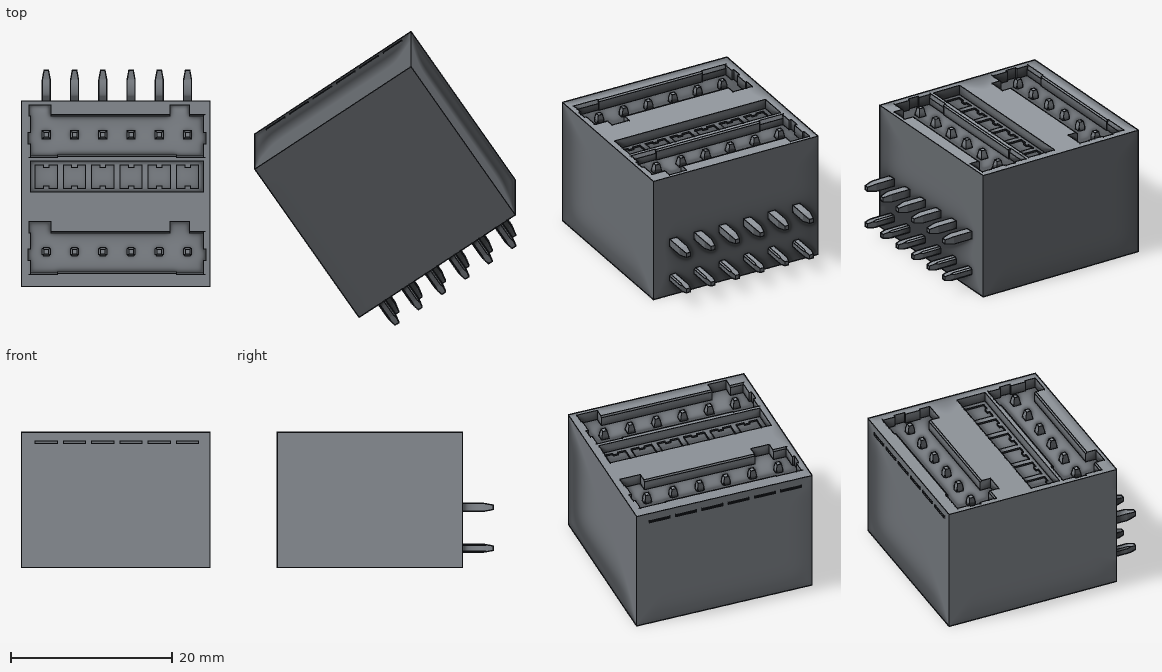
import cadquery as cq
BODY_WIDTH = 23.4
BODY_DEPTH = 23.0
BODY_HEIGHT = 16.8
OVERALL_DEPTH = 26.8

CONTACT_COUNT = 6
CONTACT_PITCH = 3.5
CONTACT_CENTER_X = 0.147
ROW_PITCH = 14.47
POCKET_DEPTH = 1.4
FLOOR_Z = BODY_HEIGHT - POCKET_DEPTH

POCKET_HALF_WIDTH = 10.9
POCKET_FRONT_Y = 1.5
POCKET_BACK_Y = 6.83
MOUTH_FLARE = 0.2
SIDE_FLARE_DROP = 0.05
FRONT_FLARE_DROP = 0.5
RIB_HALF_WIDTH = 7.37
RIB_INSET = 0.13

KEYWAY_BACK_Y = 8.05
LEFT_KEYWAY_WIDTH = 2.73
RIGHT_KEYWAY_START = 6.57
RIGHT_KEYWAY_WIDTH = 2.45
NOTCH_CENTER_Y = 3.9
NOTCH_WIDTH = 1.42
NOTCH_HALF_SPAN = 11.01

WELL_HALF_WIDTH = 10.72
WELL_FRONT_Y = 11.68
WELL_BACK_Y = 15.55
WELL_DEPTH = 1.29
WELL_FLOOR_Z = BODY_HEIGHT - WELL_DEPTH
CELL_WIDTH = 2.75
CELL_LENGTH = 2.92
CELL_SINK = 0.2
CELL_TAB_WIDTH = 0.7
CELL_TAB_LENGTH = 0.32

SLOT_HEIGHT = 0.3
SLOT_TOP_GAP = 1.13
SLOT_DEPTH = 0.2

PIN_SIZE = 1.02
PIN_TIP_SIZE = 0.55
TAIL_TIP_LENGTH = 1.2
PLUG_TIP_LENGTH = 1.1
PIN_CORNER_CHAMFER = 0.2
PIN_EMBED = 0.27
PIN_Y = 4.31
UPPER_TAIL_Z = 7.48
LOWER_TAIL_Z = 2.4
TAIL_LENGTH = OVERALL_DEPTH - BODY_DEPTH

CONTACT_XS = [
    CONTACT_CENTER_X + (i - (CONTACT_COUNT - 1) / 2) * CONTACT_PITCH
    for i in range(CONTACT_COUNT)
]


def block(x_range, y_range, z_range):
    """Axis-aligned box between the given limits."""
    (x0, x1), (y0, y1), (z0, z1) = x_range, y_range, z_range
    return cq.Workplane("XY").box(x1 - x0, y1 - y0, z1 - z0, centered=False).translate((x0, y0, z0))


def recess(front_y, front_drop):
    """Recess down to the pocket floor whose four walls flare out at the mouth."""
    side_profile = [
        (-POCKET_HALF_WIDTH, BODY_HEIGHT),
        (-POCKET_HALF_WIDTH + MOUTH_FLARE, BODY_HEIGHT - SIDE_FLARE_DROP),
        (-POCKET_HALF_WIDTH + MOUTH_FLARE, FLOOR_Z),
        (POCKET_HALF_WIDTH - MOUTH_FLARE, FLOOR_Z),
        (POCKET_HALF_WIDTH - MOUTH_FLARE, BODY_HEIGHT - SIDE_FLARE_DROP),
        (POCKET_HALF_WIDTH, BODY_HEIGHT),
    ]
    end_profile = [
        (front_y, BODY_HEIGHT),
        (front_y + MOUTH_FLARE, BODY_HEIGHT - front_drop),
        (front_y + MOUTH_FLARE, FLOOR_Z),
        (POCKET_BACK_Y - MOUTH_FLARE, FLOOR_Z),
        (POCKET_BACK_Y - MOUTH_FLARE, BODY_HEIGHT - MOUTH_FLARE),
        (POCKET_BACK_Y, BODY_HEIGHT),
    ]
    across = cq.Workplane("XZ").polyline(side_profile).close().extrude(-BODY_DEPTH)
    along = cq.Workplane("YZ").polyline(end_profile).close().extrude(BODY_WIDTH / 2, both=True)
    return across.intersect(along).translate((CONTACT_CENTER_X, 0, 0))


def plug_pocket(row_y):
    """Keyed plug pocket; the middle of its front wall stands slightly proud as a rib."""
    depth = (FLOOR_Z, BODY_HEIGHT)
    rib_zone = block(
        (CONTACT_CENTER_X - RIB_HALF_WIDTH, CONTACT_CENTER_X + RIB_HALF_WIDTH),
        (POCKET_FRONT_Y, NOTCH_CENTER_Y),
        depth,
    )
    cavity = recess(POCKET_FRONT_Y, FRONT_FLARE_DROP).cut(rib_zone)
    cavity = cavity.union(recess(POCKET_FRONT_Y + RIB_INSET, MOUTH_FLARE).intersect(rib_zone))

    left_x = CONTACT_CENTER_X - POCKET_HALF_WIDTH
    right_x = CONTACT_CENTER_X + RIGHT_KEYWAY_START
    keyway_y = (POCKET_BACK_Y - MOUTH_FLARE, KEYWAY_BACK_Y)
    left_keyway = block((left_x, left_x + LEFT_KEYWAY_WIDTH), keyway_y, depth)
    right_keyway = block((right_x, right_x + RIGHT_KEYWAY_WIDTH), keyway_y, depth)
    notches = block(
        (CONTACT_CENTER_X - NOTCH_HALF_SPAN, CONTACT_CENTER_X + NOTCH_HALF_SPAN),
        (NOTCH_CENTER_Y - NOTCH_WIDTH / 2, NOTCH_CENTER_Y + NOTCH_WIDTH / 2),
        depth,
    )
    return cavity.union(left_keyway).union(right_keyway).union(notches).translate((0, row_y, 0))


def cell(x):
    """Sunk cell in the well floor, with a small tab left standing at each end."""
    center = (x, (WELL_FRONT_Y + WELL_BACK_Y) / 2, WELL_FLOOR_Z - CELL_SINK)
    sink = cq.Workplane("XY", origin=center).rect(CELL_WIDTH, CELL_LENGTH).extrude(CELL_SINK)
    tabs = (
        cq.Workplane("XY", origin=center)
        .pushPoints([(0, -CELL_LENGTH / 2), (0, CELL_LENGTH / 2)])
        .rect(CELL_TAB_WIDTH, 2 * CELL_TAB_LENGTH)
        .extrude(CELL_SINK)
    )
    return sink.cut(tabs)


def square_bar(end_z):
    """Square bar along +Z from the embedded start up to end_z."""
    start = cq.Workplane("XY", origin=(0, 0, -PIN_EMBED))
    return start.rect(PIN_SIZE, PIN_SIZE).extrude(PIN_EMBED + end_z)


def pin(length, tip_length, corner_chamfer):
    """Pin along +Z, starting PIN_EMBED below the origin; length includes the tapered tip."""
    shank_length = length - tip_length
    shaft = square_bar(shank_length)
    tip = (
        cq.Workplane("XY", origin=(0, 0, shank_length))
        .rect(PIN_SIZE, PIN_SIZE)
        .workplane(offset=tip_length)
        .rect(PIN_TIP_SIZE, PIN_TIP_SIZE)
        .loft()
    )
    whole = shaft.union(tip)
    if corner_chamfer > 0:
        envelope = square_bar(length).edges("|Z").chamfer(corner_chamfer)
        whole = whole.intersect(envelope)
    return whole


def contact(x, row_y, tail_z, corner_chamfer):
    """Plug tip on the pocket floor and solder tail out of the rear face."""
    plug_tip = pin(PLUG_TIP_LENGTH, PLUG_TIP_LENGTH, corner_chamfer).translate((x, row_y + PIN_Y, FLOOR_Z))
    tail = (
        pin(TAIL_LENGTH, TAIL_TIP_LENGTH, corner_chamfer)
        .rotate((0, 0, 0), (1, 0, 0), -90)
        .translate((x, BODY_DEPTH, tail_z))
    )
    return plug_tip.union(tail)


result = block((-BODY_WIDTH / 2, BODY_WIDTH / 2), (0, BODY_DEPTH), (0, BODY_HEIGHT))
for row_y in (0, ROW_PITCH):
    result = result.cut(plug_pocket(row_y))
result = result.cut(
    block(
        (CONTACT_CENTER_X - WELL_HALF_WIDTH, CONTACT_CENTER_X + WELL_HALF_WIDTH),
        (WELL_FRONT_Y, WELL_BACK_Y),
        (WELL_FLOOR_Z, BODY_HEIGHT),
    )
)

slot_top_z = BODY_HEIGHT - SLOT_TOP_GAP
for x in CONTACT_XS:
    slot = block(
        (x - CELL_WIDTH / 2, x + CELL_WIDTH / 2),
        (0, SLOT_DEPTH),
        (slot_top_z - SLOT_HEIGHT, slot_top_z),
    )
    result = result.cut(cell(x)).cut(slot)
    result = result.union(contact(x, 0, LOWER_TAIL_Z, PIN_CORNER_CHAMFER))
    result = result.union(contact(x, ROW_PITCH, UPPER_TAIL_Z, 0))